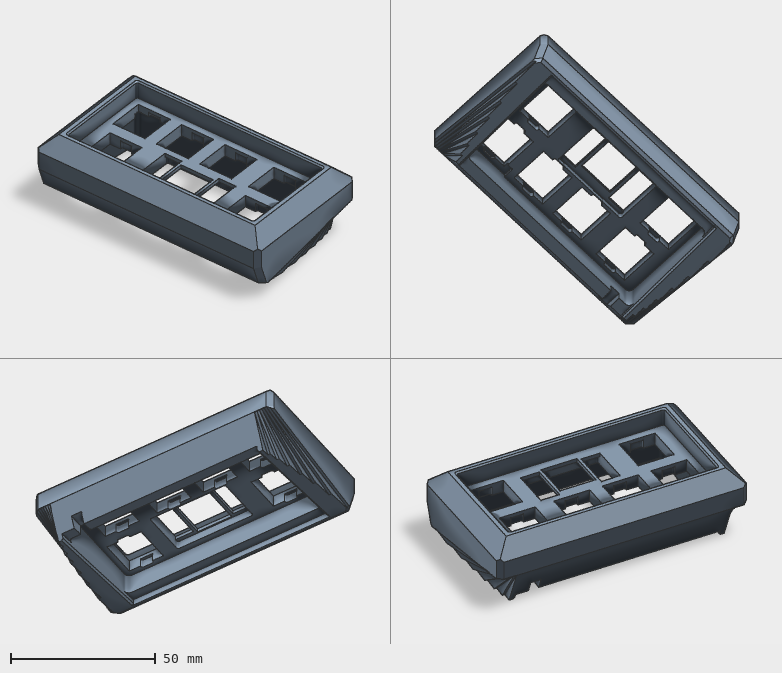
import cadquery as cq
import math


length = 97.9
width = 55.0
height = 27.3
top_bevel = 6.0
corner_bevel = 2.0
straight_depth = 13.3
front_lean = 19.0
rear_lean = 21.3
front_depth = 21.8
front_toe = 1.0

step_width = 1.0
step_angles = (9.6, 14.0, 19.3, 25.7, 35.2, 46.3, 58.3)
hinge_inset = 0.2

recess_length = 81.5
recess_width = 39.0
recess_depth = 7.05
rim_chamfer = 0.6
recess_radius = 1.0
plate_thickness = 4.9
cavity_length = 80.1
cavity_width = 37.6
cavity_radius = 2.0

lid_depth = 2.35
lid_bevel = 0.7
lid_lip = 1.8

key_pitch = 19.0
switch_length = 14.0
switch_width = 14.2
wide_key_size = 14.0
clip_plate = 1.5
clip_width = 5.0
clip_depth = 1.0
cutter_diameter = 1.5
slot_length = 7.3
slot_width = 15.0
slot_offset = 11.8
slot_y = -7.6
pocket_overhang = 1.4
wide_key_y = -9.0

rear_keys = (-1.625, -0.625, 0.375, 1.5)
front_keys = (-1.5, 1.625)
wide_key = 0.125

cable_slot_width = 4.0
cable_slot_x = 33.0
cable_slot_depth = 20.6
relief_right = -21.5
relief_front = 14.8
relief_plate = 3.1

plate_top = -recess_depth
plate_bottom = plate_top - plate_thickness
row_y = key_pitch / 2
margin = 4.9

rear_edge_y = width / 2 - (height - straight_depth) * math.tan(math.radians(rear_lean))
front_edge_y = -width / 2 + (front_depth - straight_depth) * math.tan(math.radians(front_lean))


def box(x_min, x_max, y_min, y_max, z_min, z_max):
    """Box given by its limits along each axis."""
    size = (x_max - x_min, y_max - y_min, z_max - z_min)
    return cq.Workplane("XY").box(*size, centered=False).translate((x_min, y_min, z_min))


def prism(x, y, size_x, size_y, z_min, z_max):
    """Upright block centred on (x, y)."""
    return box(x - size_x / 2, x + size_x / 2, y - size_y / 2, y + size_y / 2, z_min, z_max)


def outer_body():
    """Side profile extruded along X, with bevelled corners and top."""
    half = width / 2
    profile = [
        (-half, 0),
        (half, 0),
        (half, -straight_depth),
        (rear_edge_y, -height),
        (front_edge_y, -front_depth),
        (-half, -straight_depth),
    ]
    body = cq.Workplane("YZ").polyline(profile).close().extrude(length / 2, both=True)
    upright_edges = body.faces("<X or >X").edges("not(<Z or >Z)")
    body = body.newObject(upright_edges.vals()).chamfer(corner_bevel)
    toe_region = cq.selectors.BoxSelector(
        (-length, -width, -front_depth - corner_bevel / 2),
        (length, front_edge_y + corner_bevel, -front_depth + corner_bevel / 2),
    )
    body = body.edges(toe_region).chamfer(front_toe)
    bevelled_block = prism(0, 0, length, width, -height, 0).faces(">Z").edges().chamfer(top_bevel)
    return body.intersect(bevelled_block)


def foot_step_cut(index, angle):
    """Wedges removed on both sides outside one step, below a plane through the rear hinge line."""
    hinge_y = width / 2 - hinge_inset
    hinge_z = -straight_depth
    reach = 2 * width
    turn = math.radians(angle)
    wedge_outline = [
        (hinge_y, hinge_z),
        (hinge_y - reach * math.cos(turn), hinge_z - reach * math.sin(turn)),
        (hinge_y, hinge_z - reach),
        (hinge_y + margin, hinge_z),
    ]
    inner_x = length / 2 - step_width * (index + 1)
    wedge = cq.Workplane("YZ").workplane(offset=inner_x).polyline(wedge_outline).close().extrude(step_width)
    return wedge.union(wedge.mirror("YZ"))


def top_recess():
    """Rounded well above the switch plate, with a chamfered rim."""
    well = prism(0, 0, recess_length, recess_width, plate_top, 0).edges("|Z").fillet(recess_radius)
    rim = (
        cq.Workplane("XY")
        .rect(recess_length + 2 * rim_chamfer, recess_width + 2 * rim_chamfer)
        .extrude(-rim_chamfer, taper=45)
        .edges("not #Z")
        .fillet(recess_radius + rim_chamfer)
    )
    return well.union(rim)


def cavity():
    """Space below the plate, open at the bottom, with rounded upright corners."""
    space = prism(0, 0, cavity_length, cavity_width, -height - margin, plate_bottom)
    return space.edges("|Z").fillet(cavity_radius)


def lid_recess():
    """Recess along the sloping underside, bevelled at the sides and running out through the rear wall."""
    half = cavity_length / 2
    mouth_half = half + lid_bevel
    profile = [
        (-half, lid_depth),
        (-half, lid_bevel),
        (-mouth_half, 0),
        (-mouth_half, -margin),
        (mouth_half, -margin),
        (mouth_half, 0),
        (half, lid_bevel),
        (half, lid_depth),
    ]
    drop = height - front_depth
    run = rear_edge_y - front_edge_y
    recess = cq.Workplane("XZ").polyline(profile).close().extrude(-width)
    recess = recess.translate((0, lid_lip, 0))
    tilt = math.degrees(math.atan(drop / run))
    return recess.rotate((0, 0, 0), (1, 0, 0), -tilt).translate((0, front_edge_y, -front_depth))


def switch_hole(x, y):
    """Switch opening with a clip notch under its front and rear edges."""
    hole = prism(x, y, switch_length, switch_width, plate_bottom, plate_top)
    notch = prism(x, y, clip_width, switch_width + 2 * clip_depth, plate_bottom, plate_top - clip_plate)
    return hole.union(notch.edges("|Z").fillet(cutter_diameter / 2))


def wide_key_cut():
    """Wide key opening, its two stabiliser slots and the pocket that thins the plate under them."""
    centre_x = wide_key * key_pitch
    opening = prism(centre_x, wide_key_y, wide_key_size, wide_key_size, plate_bottom, plate_top)
    for side in (-1, 1):
        slot_x = centre_x + side * slot_offset
        slot = prism(slot_x, slot_y, slot_length, slot_width, plate_bottom, plate_top)
        opening = opening.union(slot)
    pocket_length = 2 * slot_offset + slot_length
    pocket_width = slot_width + 2 * pocket_overhang
    pocket = prism(centre_x, slot_y, pocket_length, pocket_width, plate_bottom, plate_top - clip_plate)
    return opening.union(pocket.edges("|Z").fillet(cutter_diameter / 2))


def cable_slot():
    """Slot through the rear wall for the cable."""
    left = cable_slot_x - cable_slot_width / 2
    return box(left, left + cable_slot_width, 0, width / 2, -height, -cable_slot_depth)


def relief_pocket():
    """Pocket in the underside of the plate at the rear left corner."""
    rear = cavity_width / 2
    left = -cavity_length / 2
    return box(left, relief_right, relief_front, rear, plate_bottom, plate_top - relief_plate)


result = outer_body()
for index, angle in enumerate(step_angles):
    result = result.cut(foot_step_cut(index, angle))
result = result.cut(top_recess()).cut(cavity()).cut(lid_recess())
for column in rear_keys:
    result = result.cut(switch_hole(column * key_pitch, row_y))
for column in front_keys:
    result = result.cut(switch_hole(column * key_pitch, -row_y))
result = result.cut(wide_key_cut()).cut(cable_slot()).cut(relief_pocket())